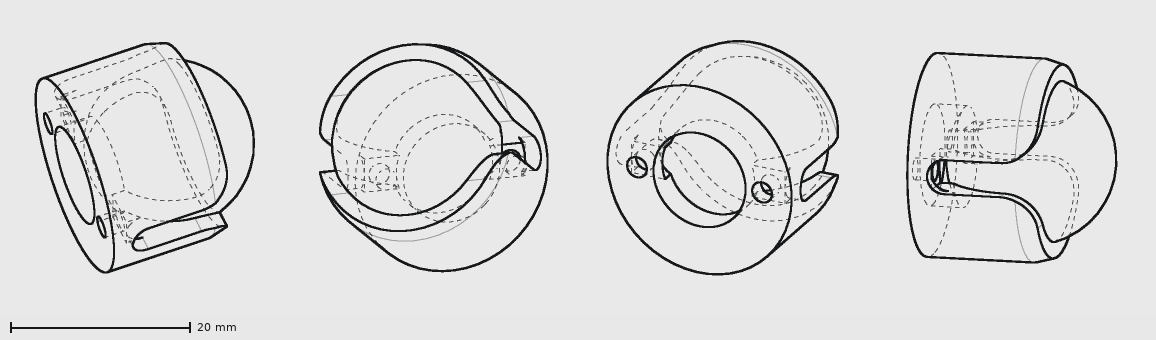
import cadquery as cq


outer_dia = 22.85
total_length = 20.92

housing_length = 14.47
rim_taper_length = 2.1
rim_taper_inset = 0.57
base_bore_dia = 11.43

ball_dia = 19.05
ball_center_y = total_length - ball_dia / 2

slot_width = 3.89
slot_floor_y = 2.29
slot_flare_radius = 3.8
slot_end_center_y = slot_floor_y + slot_width / 2
flare_start_y = housing_length - slot_flare_radius

screw_hole_dia = 2.45
screw_hole_spacing = 15.5


def make_housing():
    """Revolve the tapered housing wall, bored through at the base, about the Y axis."""
    outer_radius = outer_dia / 2
    bore_radius = base_bore_dia / 2
    return (
        cq.Workplane("XY")
        .moveTo(bore_radius, 0)
        .lineTo(outer_radius, 0)
        .lineTo(outer_radius, housing_length - rim_taper_length)
        .lineTo(outer_radius - rim_taper_inset, housing_length)
        .lineTo(bore_radius, housing_length)
        .close()
        .revolve(360, (0, 0, 0), (0, 1, 0))
    )


def make_slot():
    """Slot right through the housing along X, with quarter-round flares at the rim."""
    half_width = slot_width / 2
    half_mouth = half_width + slot_flare_radius
    return (
        cq.Workplane("YZ")
        .moveTo(flare_start_y, -half_width)
        .radiusArc((housing_length, -half_mouth), slot_flare_radius)
        .lineTo(housing_length, half_mouth)
        .radiusArc((flare_start_y, half_width), slot_flare_radius)
        .lineTo(slot_end_center_y, half_width)
        .threePointArc((slot_floor_y, 0), (slot_end_center_y, -half_width))
        .close()
        .extrude(outer_dia / 2, both=True)
    )


def make_square_floor():
    """Box squaring off the round slot floors across the width of the ball."""
    floor_height = slot_end_center_y - slot_floor_y
    return (
        cq.Workplane("XY")
        .box(ball_dia, floor_height, slot_width, centered=(True, False, True))
        .translate((0, slot_floor_y, 0))
    )


def make_screw_holes():
    """Two holes from the base face up to the full width of the slots."""
    return (
        cq.Workplane("XZ")
        .pushPoints([(side * screw_hole_spacing / 2, 0) for side in (-1, 1)])
        .circle(screw_hole_dia / 2)
        .extrude(-slot_end_center_y)
    )


def make_ball():
    """Ball seated in the housing, standing out past the rim."""
    return cq.Workplane("XY").sphere(ball_dia / 2).translate((0, ball_center_y, 0))


housing = make_housing()
for opening in (make_slot(), make_square_floor(), make_screw_holes()):
    housing = housing.cut(opening)

result = housing.union(make_ball())